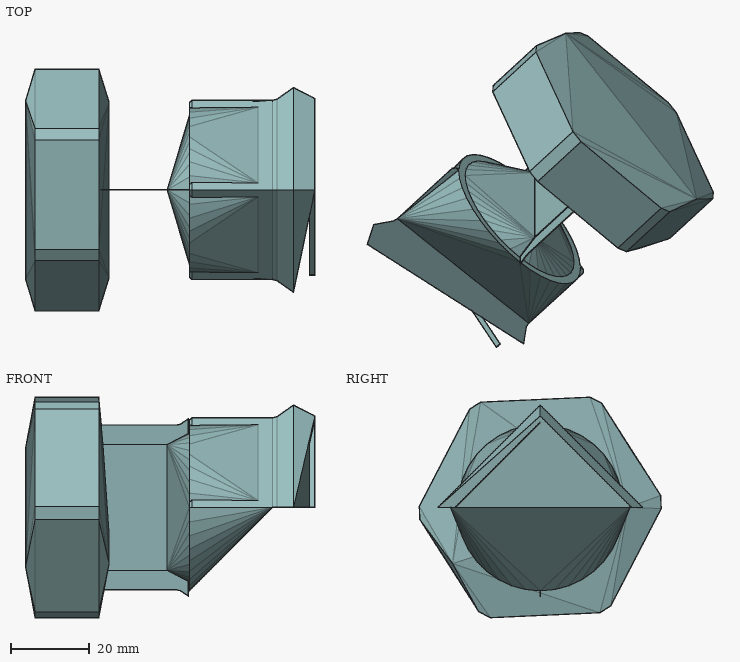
import cadquery as cq
import math

head_x = 2.4
head_back_x = 18.6
back_ridge_x = 21.25
head_corner_diameter = 61.5
head_corner_radius = head_corner_diameter / 2
head_rotation = 2.6
flat_half_angle = 26.9
front_ridge = [(0, 22.7, 15.15), (0, -22.7, -15.15)]
back_ridge = [(back_ridge_x, 22.3, 0), (back_ridge_x, -22.3, -14.25)]

sheet_thickness = 0.15
web_half_height = 15.95
web_end_x = 35.95
strip_outer_z = 20.95
strip_step_x = 38.3
strip_step_z = 21.2
strip_flare_x = 39.3
strip_end_x = 41.4
strip_flare_z = 22.6

seat_x = 41.6
nose_radius = 18.9
seat_radius = 21.2
arc_step = 10

socket_size = 22.8
socket_start_size = 22.2
socket_start_x = 42.25
barrel_end_x = 62.7
flare_start_x = 63.9
flare_start_size = 23.1
crest_x = 68.05
crest_size = 26.0
socket_end_x = 73.5
socket_end_size = 23.2
bulge_end_x = 59.0
bulge_edge_offset = 1.8

lip_start_x = 72.1
lip_size = 21.7


def polyhedron(faces):
    """Solid bounded by flat polygons, each a list of points."""
    shells = [cq.Face.makeFromWires(cq.Wire.makePolygon(
        [cq.Vector(*p) for p in face], close=True)) for face in faces]
    solid = cq.Solid.makeSolid(cq.Shell.makeShell(shells))
    return cq.Workplane(solid.fix())


def ridge_faces(loop, ridge):
    """Triangles from a closed loop to the two ends of a ridge, each edge going to the nearer end."""
    edges = list(zip(loop, loop[1:] + loop[:1]))

    def nearest_end(edge):
        middle = [(a + b) / 2 for a, b in zip(*edge)]
        return min(ridge, key=lambda end: round(math.dist(middle, end), 6))

    faces = []
    previous_end = nearest_end(edges[-1])
    for start, finish in edges:
        end = nearest_end((start, finish))
        if end != previous_end:
            faces.append([start, previous_end, end])
        faces.append([start, finish, end])
        previous_end = end
    return faces


def wedge(loop, ridge):
    """Solid tapering from a flat loop to a ridge."""
    return polyhedron([loop] + ridge_faces(loop, ridge))


def polar(x, radius, angle):
    """Point at an angle measured from +Y toward +Z, in the plane at x."""
    turn = math.radians(angle)
    return (x, radius * math.cos(turn), radius * math.sin(turn))


def arc_points(radius, start, finish):
    return [polar(seat_x, radius, angle) for angle in range(start, finish + 1, arc_step)]


def sheet(outline):
    """Thin sheet centred on the XZ plane."""
    return cq.Workplane("XZ").polyline(outline).close().extrude(sheet_thickness / 2, both=True)


def make_web():
    plate = sheet([
        (head_back_x, -web_half_height), (web_end_x, -web_half_height),
        (web_end_x, web_half_height), (head_back_x, web_half_height)])
    root = sheet([
        (web_end_x, -web_half_height), (seat_x, -web_half_height),
        (seat_x, web_half_height), (web_end_x, web_half_height)])
    nose_edge = [(web_end_x, 0, web_half_height), (web_end_x, 0, -web_half_height)]
    nose = wedge(arc_points(nose_radius, 0, 360 - arc_step), nose_edge)
    return plate.union(root).union(nose)


def make_strip(side):
    slope = (nose_radius - web_half_height) / (seat_x - web_end_x)
    inner_end_z = web_half_height + slope * (strip_end_x - web_end_x)
    outline = [
        (head_back_x, web_half_height), (web_end_x, web_half_height),
        (strip_end_x, inner_end_z), (strip_end_x, strip_flare_z),
        (strip_flare_x, strip_step_z), (strip_step_x, strip_outer_z), (head_back_x, strip_outer_z)]
    return sheet([(x, side * z) for x, z in outline])


def make_head(stem_parts):
    angles = [90 + head_rotation + 60 * flat + sign * flat_half_angle
              for flat in range(6) for sign in (-1, 1)]
    front = [polar(head_x, head_corner_radius, angle) for angle in angles]
    back = [polar(head_back_x, head_corner_radius, angle) for angle in angles]
    prism = side_faces(front, back)
    head = polyhedron(ridge_faces(front, front_ridge) + prism + ridge_faces(back, back_ridge))
    for part in stem_parts:
        head = head.cut(part)
    return head


def side_faces(front, back):
    """Quadrilaterals joining two matching loops."""
    count = len(front)
    return [[front[i], front[(i + 1) % count], back[(i + 1) % count], back[i]] for i in range(count)]


def half_diamond(x, size):
    return [(x, -size, 0), (x, 0, size), (x, size, 0)]


def make_socket(lip):
    profile = [
        (seat_x, socket_start_size), (socket_start_x, socket_size), (barrel_end_x, socket_size),
        (flare_start_x, flare_start_size), (crest_x, crest_size)]
    sections = [half_diamond(x, size) for x, size in profile]
    mouth = half_diamond(socket_end_x, socket_end_size)
    mouth[0] = sections[-1][0]
    faces = [sections[0], mouth]
    for front, back in zip(sections, sections[1:]):
        faces += side_faces(front, back)
    crest = sections[-1]
    faces.append([crest[0], crest[1], mouth[1]])
    faces.append([crest[1], crest[2], mouth[2], mouth[1]])
    faces.append([crest[2], crest[0], mouth[2]])
    socket = polyhedron(faces)

    long_offset = socket_size - bulge_edge_offset
    for side, start in ((1, 0), (-1, 90)):
        corners = [(bulge_end_x, side * long_offset, bulge_edge_offset),
                   (bulge_end_x, side * bulge_edge_offset, long_offset)]
        arc = arc_points(long_offset, start, start + 90)
        socket = socket.union(wedge(arc, corners))

    underside_edge = [(barrel_end_x, -socket_size, 0), (barrel_end_x, socket_size, 0)]
    socket = socket.union(wedge(arc_points(seat_radius, 180, 360), underside_edge))
    return socket.cut(lip)


def make_lip():
    inner_size = lip_size - sheet_thickness
    outline = [(0, lip_size), (-lip_size, 0), (-inner_size, 0), (0, inner_size)]
    return (cq.Workplane("YZ").workplane(offset=lip_start_x)
            .polyline(outline).close().extrude(socket_end_x - lip_start_x))


web = make_web()
strips = [make_strip(side) for side in (1, -1)]
head = make_head([web] + strips)
lip = make_lip()
socket = make_socket(lip)

result = cq.Compound.makeCompound(
    [head.val(), web.val(), *[strip.val() for strip in strips], socket.val(), lip.val()])